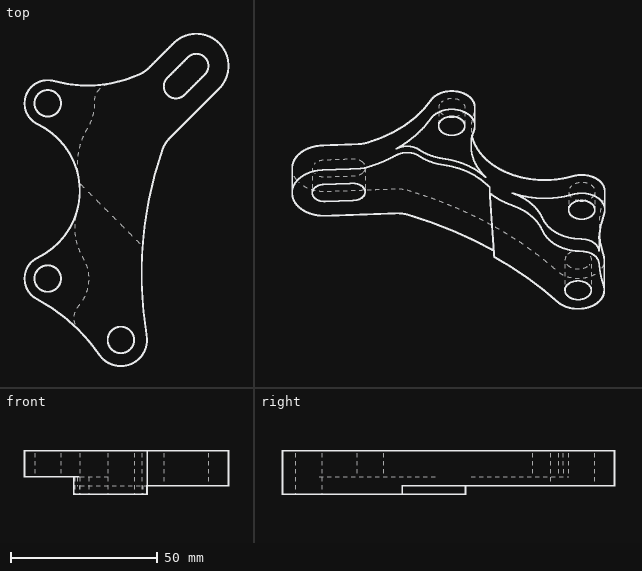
import cadquery as cq
import math


ear_thickness = 9.0
arm_thickness = 12.1
full_thickness = 15.0

ear_radius = 8.0
foot_radius = 9.0
arm_radius = 11.0
hole_diameter = 9.0
slot_width = 8.2
slot_travel = 9.9

ear_spacing = 60.0
upper_ear = (0, ear_spacing / 2)
lower_ear = (0, -ear_spacing / 2)
foot = (25.1, -51.0)
arm_end = (50.9, 42.8)
arm_angle = 45

bite_radius = 25.3
lower_side_radius = 59.3
right_side_radius = 129.0
top_side_radius = 42.4
right_side_angle = 9.5
top_side_angle = 74.2
arm_root_fillet = 10.0

upper_clearance_radius = 16.0
upper_bite_blend = 23.7
lower_clearance_radius = 14.0
lower_bite_blend = 19.9
edge_blend = 6.0

arm_step_start = (10.9, 2.6)
outside_x = -22.8
cutter_reach = 136.7


def polar(center, radius, angle):
    """Point at a distance and an angle in degrees from a center."""
    turn = math.radians(angle)
    return (center[0] + radius * math.cos(turn), center[1] + radius * math.sin(turn))


def toward(start, end, distance):
    """Point at a distance from start along the line to end."""
    ratio = distance / math.dist(start, end)
    return (start[0] + ratio * (end[0] - start[0]), start[1] + ratio * (end[1] - start[1]))


def circle_crossing(first, first_radius, second, second_radius):
    """Crossing of two circles that lies left of the line from first to second."""
    gap = math.dist(first, second)
    along = (gap**2 + first_radius**2 - second_radius**2) / (2 * gap)
    aside = math.sqrt(first_radius**2 - along**2)
    base = toward(first, second, along)
    ux = (second[0] - first[0]) / gap
    uy = (second[1] - first[1]) / gap
    return (base[0] - aside * uy, base[1] + aside * ux)


def line_crossing(point, angle, center, radius):
    """Far crossing with a circle, going from point along an angle."""
    ux, uy = polar((0, 0), 1, angle)
    dx = center[0] - point[0]
    dy = center[1] - point[1]
    along = dx * ux + dy * uy
    aside = dx * uy - dy * ux
    return polar(point, along + math.sqrt(radius**2 - aside**2), angle)


def arc_to(sketch, center, radius, start, end):
    """Add the shorter arc about center from start to end."""
    chord_middle = ((start[0] + end[0]) / 2, (start[1] + end[1]) / 2)
    return sketch.threePointArc(toward(center, chord_middle, radius), end)


bite_center = (-math.sqrt((bite_radius + ear_radius) ** 2 - (ear_spacing / 2) ** 2), 0)
lower_side_center = circle_crossing(
    foot, lower_side_radius + foot_radius, lower_ear, lower_side_radius + ear_radius
)
right_side_center = polar(foot, foot_radius + right_side_radius, right_side_angle)
top_side_center = polar(upper_ear, ear_radius + top_side_radius, top_side_angle)

arm_left = polar(arm_end, arm_radius, arm_angle + 90)
arm_tip = polar(arm_end, arm_radius, arm_angle)
arm_right = polar(arm_end, arm_radius, arm_angle - 90)
left_root = line_crossing(arm_left, arm_angle + 180, top_side_center, top_side_radius)
right_root = line_crossing(arm_right, arm_angle + 180, right_side_center, right_side_radius)


def make_plate():
    """Full-thickness plate with the complete outline."""
    upper_ear_top = toward(upper_ear, top_side_center, ear_radius)
    upper_ear_side = toward(upper_ear, bite_center, ear_radius)
    lower_ear_side = toward(lower_ear, bite_center, ear_radius)
    lower_ear_bottom = toward(lower_ear, lower_side_center, ear_radius)
    foot_left = toward(foot, lower_side_center, foot_radius)
    foot_bottom = polar(foot, foot_radius, -90)
    foot_right = toward(foot, right_side_center, foot_radius)

    outline = cq.Workplane("XY").moveTo(*upper_ear_top)
    outline = outline.threePointArc(polar(upper_ear, ear_radius, 180), upper_ear_side)
    outline = arc_to(outline, bite_center, bite_radius, upper_ear_side, lower_ear_side)
    outline = outline.threePointArc(polar(lower_ear, ear_radius, 180), lower_ear_bottom)
    outline = arc_to(outline, lower_side_center, lower_side_radius, lower_ear_bottom, foot_left)
    outline = outline.threePointArc(foot_bottom, foot_right)
    outline = arc_to(outline, right_side_center, right_side_radius, foot_right, right_root)
    outline = outline.lineTo(*arm_right).threePointArc(arm_tip, arm_left).lineTo(*left_root)
    outline = arc_to(outline, top_side_center, top_side_radius, left_root, upper_ear_top)
    plate = outline.close().extrude(-full_thickness)

    for x, y in (left_root, right_root):
        corner = cq.selectors.NearestToPointSelector((x, y, -full_thickness / 2))
        plate = plate.edges("|Z").edges(corner).fillet(arm_root_fillet)
    return plate


def mirror(point):
    """Reflect a point across the line midway between the ears."""
    return (point[0], -point[1])


def ear_cutter(clearance, bite_blend, side_center, side_radius):
    """Cutter below the lower ear: a round clearance blended into the outline at both ends."""
    bite_distance = bite_radius + bite_blend
    side_distance = side_radius + edge_blend
    bite_blend_center = circle_crossing(bite_center, bite_distance, lower_ear, clearance + bite_blend)
    side_blend_center = circle_crossing(lower_ear, clearance + edge_blend, side_center, side_distance)

    bite_end = toward(bite_center, bite_blend_center, bite_radius)
    wall_start = toward(lower_ear, bite_blend_center, clearance)
    wall_end = toward(lower_ear, side_blend_center, clearance)
    side_end = toward(side_center, side_blend_center, side_radius)

    profile = cq.Workplane("XY", origin=(0, 0, -full_thickness)).moveTo(*bite_end)
    profile = arc_to(profile, bite_blend_center, bite_blend, bite_end, wall_start)
    profile = arc_to(profile, lower_ear, clearance, wall_start, wall_end)
    profile = arc_to(profile, side_blend_center, edge_blend, wall_end, side_end)
    profile = profile.lineTo(*side_center).lineTo(outside_x, side_center[1])
    profile = profile.lineTo(outside_x, 0).lineTo(*bite_center).close()
    return profile.extrude(full_thickness - ear_thickness)


def arm_cutter():
    """Cutter below the arm, ending at a step square to the arm."""
    bottom = cq.Workplane("XY", origin=(*arm_step_start, -full_thickness))
    bottom = bottom.transformed(rotate=(0, 0, arm_angle))
    block = bottom.rect(cutter_reach, cutter_reach).extrude(full_thickness - arm_thickness)
    return block.translate((*polar((0, 0), cutter_reach / 2, arm_angle), 0))


def make_holes():
    """Through holes in the ears and foot, and the slot along the arm."""
    holes = cq.Workplane("XY").pushPoints([upper_ear, lower_ear, foot])
    holes = holes.circle(hole_diameter / 2).extrude(-full_thickness)
    slot_center = polar(arm_end, slot_travel / 2, arm_angle + 180)
    slot = cq.Workplane("XY").center(*slot_center)
    slot = slot.slot2D(slot_travel + slot_width, slot_width, arm_angle).extrude(-full_thickness)
    return holes.union(slot)


lower_cutter = ear_cutter(
    lower_clearance_radius, lower_bite_blend, lower_side_center, lower_side_radius
)
upper_cutter = ear_cutter(
    upper_clearance_radius, upper_bite_blend, mirror(top_side_center), top_side_radius
).mirror("XZ")

result = make_plate().cut(lower_cutter).cut(upper_cutter).cut(arm_cutter()).cut(make_holes())